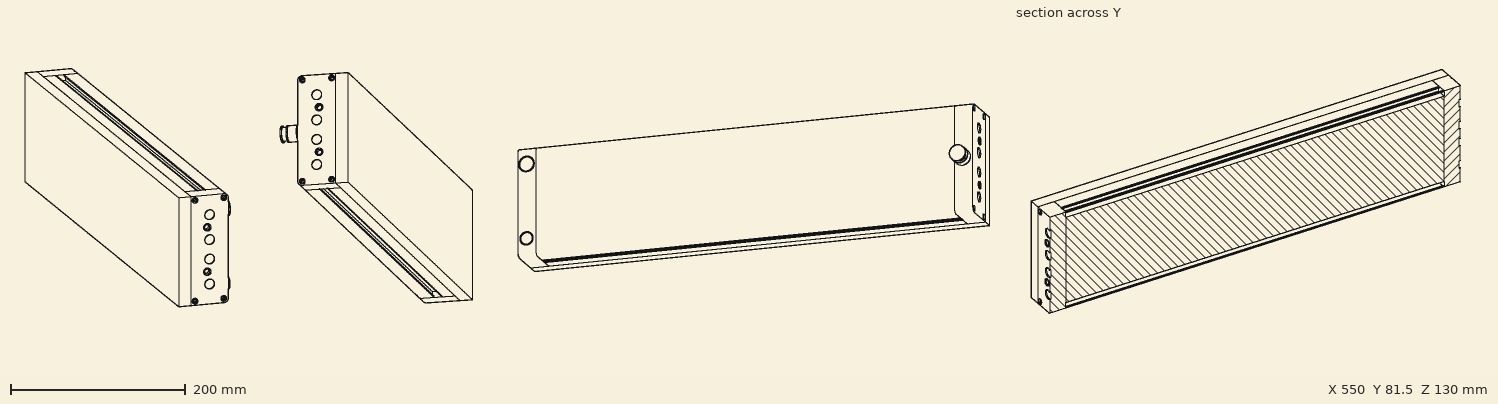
import cadquery as cq

LENGTH = 550.0
HEIGHT = 130.0
BACK_Y = 60.0
PANEL_THICKNESS = 15.0
CAP_LENGTH = 22.0
CAP_X = (LENGTH - CAP_LENGTH) / 2
RAIL_LENGTH = LENGTH - 2 * CAP_LENGTH
BACK_EDGE_RADIUS = 5.5

SLOT_FRONT_Y = 31.0
SLOT_BACK_Y = 39.5
LIP_THICKNESS = 1.5
UNDERCUT = 2.0
SLOT_DEPTH = 7.0
LEDGE_WIDTH = 1.0
LEDGE_DEPTH = 0.5

SCREW_YS = (20.0, 54.5)
SCREW_Z = 60.0
SCREW_HEAD_DIAMETER = 6.5
SCREW_HEAD_DEPTH = 1.5
SCREW_HOLE_DIAMETER = 4.0
SCREW_HOLE_DEPTH = 5.5
SEAT_Y = 37.5
SEAT_ZS = (11.5, 41.0)
SEAT_DIAMETER = 11.5
SEAT_DEPTH = 1.5
SOCKET_Y = 34.5
SOCKET_Z = 26.5
SOCKET_DIAMETER = 9.0
SOCKET_DEPTH = 1.0
SOCKET_HOLE_DIAMETER = 6.0
SOCKET_HOLE_DEPTH = 5.5

FITTING_INSET = 11.5
FITTING_X = LENGTH / 2 - FITTING_INSET
CONNECTOR_DIAMETER = 19.0
CONNECTOR_NECK_DIAMETER = 16.0
COLLAR_DIAMETER = 20.0
CONNECTOR_BASE_Y = 62.0
COLLAR_START_Y = 72.5
COLLAR_END_Y = 74.0
LIP_START_Y = 80.0
CONNECTOR_END_Y = 81.5
BUTTON_Z = 44.5
UPPER_BUTTON_DIAMETER = 18.5
LOWER_BUTTON_DIAMETER = 16.0
BUTTON_NECK_INSET = 1.0
BUTTON_RIM_Y = 62.5
BUTTON_END_Y = 63.0


def block(length, y_start, y_end, x_center=0):
    """Full-height block centred on x_center."""
    return (
        cq.Workplane("XY")
        .box(length, y_end - y_start, HEIGHT, centered=(True, False, True))
        .translate((x_center, y_start, 0))
    )


def housing_block(length, x_center=0):
    """Length of the housing section behind the panel, with rounded back edges."""
    body = block(length, PANEL_THICKNESS, BACK_Y, x_center)
    return body.edges("|X and >Y").fillet(BACK_EDGE_RADIUS)


def disc(diameter, x, z, y_start, y_end):
    """Cylinder along Y between two Y positions."""
    start = cq.Vector(x, y_start, z)
    return cq.Workplane(cq.Solid.makeCylinder(diameter / 2, y_end - y_start, start, cq.Vector(0, 1, 0)))


def make_panel():
    """Flat front plate covering the full length of the housing."""
    return block(LENGTH, 0, PANEL_THICKNESS)


def rail_groove(side, front_y, back_y, top_depth, bottom_depth):
    """Full-length cutter on the top (side 1) or bottom (side -1) of the rail between two depths."""
    center_depth = (top_depth + bottom_depth) / 2
    groove = cq.Workplane("XY").box(RAIL_LENGTH, back_y - front_y, bottom_depth - top_depth)
    return groove.translate((0, (front_y + back_y) / 2, side * (HEIGHT / 2 - center_depth)))


def make_rail():
    """Middle section of the housing with an undercut slot and a front ledge on top and bottom."""
    rail = housing_block(RAIL_LENGTH)
    for side in (1, -1):
        ledge = rail_groove(side, SLOT_FRONT_Y - LEDGE_WIDTH, SLOT_FRONT_Y, 0, LEDGE_DEPTH)
        mouth = rail_groove(side, SLOT_FRONT_Y, SLOT_BACK_Y, 0, LIP_THICKNESS)
        chamber = rail_groove(
            side, SLOT_FRONT_Y - UNDERCUT, SLOT_BACK_Y + UNDERCUT, LIP_THICKNESS, SLOT_DEPTH
        )
        rail = rail.cut(ledge).cut(mouth).cut(chamber)
    return rail


def end_recess(side, y, z, diameter, depth):
    """Round cutter sunk from the outer end face of the cap on the given side."""
    start = cq.Vector(side * LENGTH / 2, y, z)
    inward = cq.Vector(-side, 0, 0)
    return cq.Workplane(cq.Solid.makeCylinder(diameter / 2, depth, start, inward))


def make_cap(side):
    """End section of the housing, on the right (side 1) or the left (side -1), with its end openings."""
    cap = housing_block(CAP_LENGTH, side * CAP_X)
    for z_side in (1, -1):
        for y in SCREW_YS:
            cap = cap.cut(end_recess(side, y, z_side * SCREW_Z, SCREW_HEAD_DIAMETER, SCREW_HEAD_DEPTH))
            cap = cap.cut(end_recess(side, y, z_side * SCREW_Z, SCREW_HOLE_DIAMETER, SCREW_HOLE_DEPTH))
        for z in SEAT_ZS:
            cap = cap.cut(end_recess(side, SEAT_Y, z_side * z, SEAT_DIAMETER, SEAT_DEPTH))
        cap = cap.cut(end_recess(side, SOCKET_Y, z_side * SOCKET_Z, SOCKET_DIAMETER, SOCKET_DEPTH))
        cap = cap.cut(end_recess(side, SOCKET_Y, z_side * SOCKET_Z, SOCKET_HOLE_DIAMETER, SOCKET_HOLE_DEPTH))
    return cap


def add_connector(cap, x):
    """Stepped round connector standing on the back of a cap."""
    steps = (
        (CONNECTOR_NECK_DIAMETER, BACK_Y, CONNECTOR_BASE_Y),
        (CONNECTOR_DIAMETER, CONNECTOR_BASE_Y, COLLAR_START_Y),
        (COLLAR_DIAMETER, COLLAR_START_Y, COLLAR_END_Y),
        (CONNECTOR_NECK_DIAMETER, COLLAR_END_Y, LIP_START_Y),
        (CONNECTOR_DIAMETER, LIP_START_Y, CONNECTOR_END_Y),
    )
    for diameter, y_start, y_end in steps:
        cap = cap.union(disc(diameter, x, 0, y_start, y_end))
    return cap


def add_button(cap, x, z, diameter):
    """Low rimmed button standing on the back of a cap."""
    cap = cap.union(disc(diameter - 2 * BUTTON_NECK_INSET, x, z, BACK_Y, BUTTON_RIM_Y))
    return cap.union(disc(diameter, x, z, BUTTON_RIM_Y, BUTTON_END_Y))


panel = make_panel()
rail = make_rail()
left_cap = add_connector(make_cap(-1), -FITTING_X)
right_cap = make_cap(1)
right_cap = add_button(right_cap, FITTING_X, BUTTON_Z, UPPER_BUTTON_DIAMETER)
right_cap = add_button(right_cap, FITTING_X, -BUTTON_Z, LOWER_BUTTON_DIAMETER)

result = cq.Compound.makeCompound([panel.val(), rail.val(), left_cap.val(), right_cap.val()])